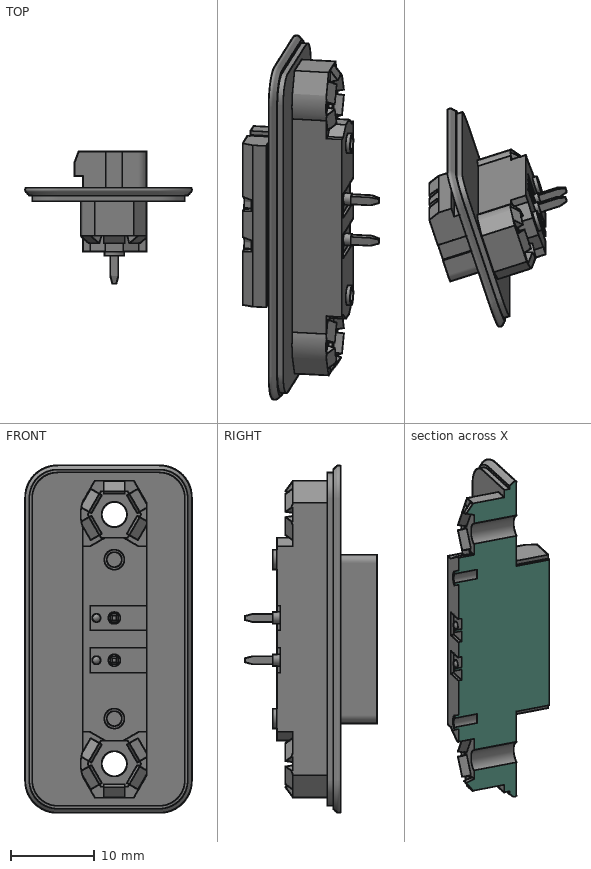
import cadquery as cq
import math


PLATE_WIDTH = 20.07
PLATE_LENGTH = 41.79
PLATE_CORNER_RADIUS = 3.9
PLATE_HEIGHT = 1.65
RIM_HEIGHT = 0.53
TAPER_HEIGHT = 0.95
TAPER_INSET = 0.52
STEP_INSET = 0.87
RIM_BULGE = 0.12
RIM_SECTION_DEPTH = 2.0

AXIS_X = 0.70
BODY_LEFT = -3.07
BODY_RIGHT = 4.585
END_CENTER_Z = 14.98
END_APOTHEM = 4.06
END_HEIGHT = 5.8
END_ARC_HALF_CHORD = 1.58
END_ARC_LEFT = -3.35
BODY_HEIGHT = 7.7
BODY_NOSE_Z = 12.2
BODY_SHOULDER_Z = 11.15
BODY_NOSE_HALF_WIDTH = 1.1
SCREW_HOLE_RADIUS = 1.5

RIDGE_HALF_LENGTH = 1.25
RIDGE_OUTER_BASE = 4.0
RIDGE_CREST = 2.8
RIDGE_KNEE = 2.62
RIDGE_KNEE_HEIGHT = 0.3
RIDGE_FOOT = 2.46
RIDGE_HEIGHT = 0.9
RIDGE_TOP = END_HEIGHT + RIDGE_HEIGHT
RIDGE_ANGLES = (-30, 30, 90, 150, 210)

RECESS_APOTHEM = END_CENTER_Z - BODY_NOSE_Z
RECESS_DEPTH = 0.15
RECESS_FLOOR = END_HEIGHT - RECESS_DEPTH

CONTACT_Z = 2.54
POCKET_LEFT = -2.22
POCKET_WIDTH = 3.0
POCKET_DEPTH = 0.4
POCKET_FLOOR = BODY_HEIGHT - POCKET_DEPTH
COLLAR_RADIUS = 0.72
COLLAR_TOP = BODY_HEIGHT + 0.5
PIN_SIZE = 1.0
PIN_SHOULDER = 10.6
PIN_TIP = 11.55
PIN_TIP_SIZE = 0.5
DOME_X = -1.45
DOME_RADIUS = 0.5
DOME_HEIGHT = 0.35

BOSS_Z = 9.55
BOSS_RADIUS = 1.2
BOSS_BORE_RADIUS = 0.9
BOSS_TOP = BODY_HEIGHT + 0.5
BOSS_BORE_DEPTH = 3.0

SOCKET_DEPTH = 4.35
SOCKET_HALF_LENGTH = 10.15
HOOK_LEFT = -4.11
HOOK_SLOPE_LEFT = -3.6
HOOK_UNDERSIDE_Y = 1.38
HOOK_SLOPE_Y = 2.98
SOCKET_EDGE_RADIUS = 1.0
KEYWAY_LEFT = -0.33
KEYWAY_RIGHT = 1.65
KEYWAY_DEPTH = 0.5
ENTRY_WALL_X = -2.9
ENTRY_APEX_X = -2.75
ENTRY_MOUTH_HALF_WIDTH = 0.92
ENTRY_FLOOR_HALF_WIDTH = 0.7
ENTRY_DEPTH = 1.15


def plane_at(height):
    """XZ sketch plane at a height; extruding a sketch moves toward -Y."""
    return cq.Workplane("XZ", origin=(0, -height, 0))


def disc(x, z, radius, start, end):
    return plane_at(start).center(x, z).circle(radius).extrude(end - start)


def block(left, right, bottom, top, start, end):
    sketch = plane_at(start).center((left + right) / 2, (bottom + top) / 2)
    return sketch.rect(right - left, top - bottom).extrude(end - start)


def mirrored_pair(shape):
    """The shape together with its mirror image across Z = 0."""
    return shape.union(shape.mirror("XY"))


def plate_path():
    """Closed outline of the plate, starting midway along its -X side."""
    half_width = PLATE_WIDTH / 2
    half_length = PLATE_LENGTH / 2
    corner_x = half_width - PLATE_CORNER_RADIUS
    corner_z = half_length - PLATE_CORNER_RADIUS
    return (
        plane_at(0)
        .moveTo(-half_width, 0)
        .lineTo(-half_width, corner_z)
        .tangentArcPoint((-corner_x, half_length), relative=False)
        .lineTo(corner_x, half_length)
        .tangentArcPoint((half_width, corner_z), relative=False)
        .lineTo(half_width, -corner_z)
        .tangentArcPoint((corner_x, -half_length), relative=False)
        .lineTo(-corner_x, -half_length)
        .tangentArcPoint((-half_width, -corner_z), relative=False)
        .close()
    )


def make_plate():
    """Stepped plate surrounded by a rim with a bulged edge and a tapered front."""
    left = -PLATE_WIDTH / 2
    rim_section = (
        cq.Workplane("XY")
        .moveTo(left + RIM_SECTION_DEPTH, 0)
        .lineTo(left + RIM_BULGE, 0)
        .threePointArc((left, -RIM_HEIGHT / 2), (left + RIM_BULGE, -RIM_HEIGHT))
        .lineTo(left + TAPER_INSET, -TAPER_HEIGHT)
        .lineTo(left + RIM_SECTION_DEPTH, -TAPER_HEIGHT)
        .close()
    )
    rim = rim_section.sweep(plate_path())
    step_outline = cq.Sketch().rect(PLATE_WIDTH - 2 * STEP_INSET, PLATE_LENGTH - 2 * STEP_INSET)
    step_outline = step_outline.vertices().fillet(PLATE_CORNER_RADIUS - STEP_INSET)
    step = plane_at(0).placeSketch(step_outline).extrude(PLATE_HEIGHT)
    return rim.union(step)


def make_end():
    """Upper end: a hexagon cut off flush on the right and rounded on the left."""
    half_top = END_APOTHEM * math.tan(math.radians(30))
    top_z = END_CENTER_Z + END_APOTHEM
    top_right_x = AXIS_X + half_top
    right_corner_z = top_z - (BODY_RIGHT - top_right_x) * math.tan(math.radians(60))
    arc_top = (BODY_LEFT, END_CENTER_Z + END_ARC_HALF_CHORD)
    arc_bottom = (BODY_LEFT, END_CENTER_Z - END_ARC_HALF_CHORD)
    return (
        plane_at(0)
        .moveTo(BODY_LEFT, 0)
        .lineTo(*arc_bottom)
        .threePointArc((END_ARC_LEFT, END_CENTER_Z), arc_top)
        .lineTo(AXIS_X - half_top, top_z)
        .lineTo(top_right_x, top_z)
        .lineTo(BODY_RIGHT, right_corner_z)
        .lineTo(BODY_RIGHT, 0)
        .close()
        .extrude(END_HEIGHT)
    )


def make_raised_body():
    """Upper half of the raised middle, narrowing to a nose that faces the screw hole."""
    nose_run = (BODY_NOSE_Z - BODY_SHOULDER_Z) * math.tan(math.radians(60))
    shoulder_half_width = BODY_NOSE_HALF_WIDTH + nose_run
    return (
        plane_at(0)
        .moveTo(BODY_LEFT, 0)
        .lineTo(BODY_LEFT, BODY_SHOULDER_Z)
        .lineTo(AXIS_X - shoulder_half_width, BODY_SHOULDER_Z)
        .lineTo(AXIS_X - BODY_NOSE_HALF_WIDTH, BODY_NOSE_Z)
        .lineTo(AXIS_X + BODY_NOSE_HALF_WIDTH, BODY_NOSE_Z)
        .lineTo(AXIS_X + shoulder_half_width, BODY_SHOULDER_Z)
        .lineTo(BODY_RIGHT, BODY_SHOULDER_Z)
        .lineTo(BODY_RIGHT, 0)
        .close()
        .extrude(BODY_HEIGHT)
    )


def make_ridges(end):
    """Locking ridges around the upper screw hole, trimmed to the outline of the end."""
    profile = (
        cq.Workplane("XY")
        .moveTo(RIDGE_FOOT, -PLATE_HEIGHT)
        .lineTo(RIDGE_FOOT, -RECESS_FLOOR)
        .lineTo(RIDGE_KNEE, -END_HEIGHT - RIDGE_KNEE_HEIGHT)
        .lineTo(RIDGE_CREST, -RIDGE_TOP)
        .lineTo(RIDGE_OUTER_BASE, -END_HEIGHT)
        .lineTo(RIDGE_OUTER_BASE, -PLATE_HEIGHT)
        .close()
    )
    ridge = profile.extrude(RIDGE_HALF_LENGTH, both=True)
    ridges = cq.Workplane("XY")
    for angle in RIDGE_ANGLES:
        ridges = ridges.union(ridge.rotate((0, 0, 0), (0, -1, 0), angle))
    envelope = end.union(end.translate((0, -RIDGE_HEIGHT, 0)))
    return ridges.translate((AXIS_X, 0, END_CENTER_Z)).intersect(envelope)


def make_recess():
    """Shallow hexagonal recess around the upper screw hole."""
    corner_diameter = 2 * RECESS_APOTHEM / math.cos(math.radians(30))
    sketch = plane_at(RECESS_FLOOR).center(AXIS_X, END_CENTER_Z).polygon(6, corner_diameter)
    return sketch.extrude(RECESS_DEPTH)


def make_housing():
    end = make_end()
    ridged_end = end.cut(make_recess()).union(make_ridges(end))
    upper_half = ridged_end.union(make_raised_body())
    return mirrored_pair(upper_half)


def make_pockets():
    half_width = POCKET_WIDTH / 2
    pocket = block(
        POCKET_LEFT, BODY_RIGHT, CONTACT_Z - half_width, CONTACT_Z + half_width, POCKET_FLOOR, BODY_HEIGHT
    )
    return mirrored_pair(pocket)


def make_dome():
    """Spherical cap on a pocket floor."""
    sphere_radius = (DOME_RADIUS**2 + DOME_HEIGHT**2) / (2 * DOME_HEIGHT)
    sphere_center_y = -(POCKET_FLOOR + DOME_HEIGHT - sphere_radius)
    sphere = cq.Workplane("XY").sphere(sphere_radius).translate((DOME_X, sphere_center_y, CONTACT_Z))
    root_height = POCKET_FLOOR - DOME_HEIGHT
    return sphere.intersect(disc(DOME_X, CONTACT_Z, DOME_RADIUS, root_height, BODY_HEIGHT))


def make_contacts():
    """Round collar with a square pin and pointed tip, plus the dome beside it."""
    collar = disc(AXIS_X, CONTACT_Z, COLLAR_RADIUS, END_HEIGHT, COLLAR_TOP)
    shank_sketch = plane_at(END_HEIGHT).center(AXIS_X, CONTACT_Z).rect(PIN_SIZE, PIN_SIZE)
    shank = shank_sketch.extrude(PIN_SHOULDER - END_HEIGHT)
    tip_length = PIN_TIP - PIN_SHOULDER
    tip = (
        plane_at(PIN_SHOULDER)
        .center(AXIS_X, CONTACT_Z)
        .rect(PIN_SIZE, PIN_SIZE)
        .workplane(offset=tip_length)
        .rect(PIN_TIP_SIZE, PIN_TIP_SIZE)
        .loft()
    )
    return mirrored_pair(collar.union(shank).union(tip).union(make_dome()))


def make_bosses():
    return mirrored_pair(disc(AXIS_X, BOSS_Z, BOSS_RADIUS, BODY_HEIGHT, BOSS_TOP))


def make_boss_bores():
    return mirrored_pair(disc(AXIS_X, BOSS_Z, BOSS_BORE_RADIUS, BOSS_TOP - BOSS_BORE_DEPTH, BOSS_TOP))


def make_entry():
    """Notch through the sloped hook face, flaring toward the rear, with a shallow V end wall."""
    flare = math.degrees(math.atan((ENTRY_MOUTH_HALF_WIDTH - ENTRY_FLOOR_HALF_WIDTH) / ENTRY_DEPTH))
    return (
        plane_at(ENTRY_DEPTH - SOCKET_DEPTH)
        .moveTo(HOOK_LEFT, CONTACT_Z - ENTRY_FLOOR_HALF_WIDTH)
        .lineTo(ENTRY_WALL_X, CONTACT_Z - ENTRY_FLOOR_HALF_WIDTH)
        .lineTo(ENTRY_APEX_X, CONTACT_Z)
        .lineTo(ENTRY_WALL_X, CONTACT_Z + ENTRY_FLOOR_HALF_WIDTH)
        .lineTo(HOOK_LEFT, CONTACT_Z + ENTRY_FLOOR_HALF_WIDTH)
        .close()
        .extrude(-ENTRY_DEPTH, taper=-flare)
    )


def make_socket():
    """Rear housing with a latch hook along its -X side."""
    profile = (
        cq.Workplane("XY")
        .moveTo(BODY_LEFT, 0)
        .lineTo(BODY_LEFT, HOOK_UNDERSIDE_Y)
        .lineTo(HOOK_LEFT, HOOK_UNDERSIDE_Y)
        .lineTo(HOOK_LEFT, HOOK_SLOPE_Y)
        .lineTo(HOOK_SLOPE_LEFT, SOCKET_DEPTH)
        .lineTo(BODY_RIGHT, SOCKET_DEPTH)
        .lineTo(BODY_RIGHT, 0)
        .close()
    )
    socket = profile.extrude(SOCKET_HALF_LENGTH, both=True)
    socket = socket.faces(">X").edges("|Y").fillet(SOCKET_EDGE_RADIUS)
    keyway = block(
        KEYWAY_LEFT, KEYWAY_RIGHT, SOCKET_HALF_LENGTH - KEYWAY_DEPTH, SOCKET_HALF_LENGTH, -SOCKET_DEPTH, 0
    )
    return socket.cut(mirrored_pair(keyway)).cut(mirrored_pair(make_entry()))


def make_screw_holes():
    return mirrored_pair(disc(AXIS_X, END_CENTER_Z, SCREW_HOLE_RADIUS, 0, BODY_HEIGHT))


housing = make_housing().cut(make_pockets()).union(make_contacts()).union(make_bosses())
housing = housing.cut(make_boss_bores())
result = make_plate().union(housing).union(make_socket()).cut(make_screw_holes())